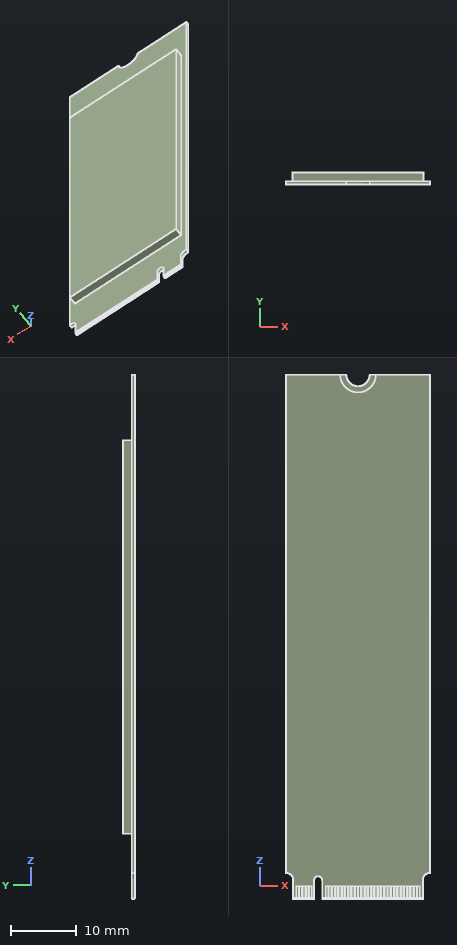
import cadquery as cq

overall_depth = 1.8
board_width = 22.0
board_height = 80.0
board_thickness = 0.54

tongue_width = 19.8
tongue_height = 4.0
shoulder_radius = 1.0
tongue_bevel_height = 0.28
tongue_bevel_depth = 0.2

slot_center_x = -6.1
slot_width = 1.2
slot_height = 3.5

pad_positions = 38
pad_span = 18.5
pad_pitch = pad_span / (pad_positions - 1)
pad_width = 0.35
pad_top = 2.0
pad_depth = 0.02
first_missing_pad = 5
missing_pads = 4

notch_radius = 1.8
seat_radius = 2.7
seat_depth = pad_depth

block_width = 20.0
block_height = 60.0
block_thickness = overall_depth - board_thickness


def box(width, depth, height, x, y, z):
    """Box centred on x, starting at y and z."""
    return (
        cq.Workplane("XY")
        .box(width, depth, height, centered=(True, False, False))
        .translate((x, y, z))
    )


def disc(radius, depth, x, z):
    """Disc with its axis along Y, from the front face inwards."""
    return cq.Workplane("XZ").center(x, z).circle(radius).extrude(-depth)


def make_board():
    """Board with concave rounds where the tongue meets the shoulders."""
    half_board = board_width / 2
    half_tongue = tongue_width / 2
    outline = (
        cq.Workplane("XZ")
        .moveTo(-half_tongue, 0)
        .lineTo(half_tongue, 0)
        .lineTo(half_tongue, tongue_height - shoulder_radius)
        .tangentArcPoint((shoulder_radius, shoulder_radius))
        .lineTo(half_board, tongue_height)
        .lineTo(half_board, board_height)
        .lineTo(-half_board, board_height)
        .lineTo(-half_board, tongue_height)
        .lineTo(-half_tongue - shoulder_radius, tongue_height)
        .tangentArcPoint((shoulder_radius, -shoulder_radius))
        .close()
    )
    board = outline.extrude(-board_thickness)
    tip_edges = board.faces("<Z").edges("<Y or >Y")
    return tip_edges.chamfer(tongue_bevel_depth, tongue_bevel_height)


def make_key_slot():
    slot_radius = slot_width / 2
    round_center_z = slot_height - slot_radius
    straight = box(slot_width, board_thickness, round_center_z, slot_center_x, 0, 0)
    return straight.union(disc(slot_radius, board_thickness, slot_center_x, round_center_z))


def make_pads():
    pad_height = pad_top - tongue_bevel_height
    pad_center_z = tongue_bevel_height + pad_height / 2
    missing = range(first_missing_pad, first_missing_pad + missing_pads)
    centers = [
        (index * pad_pitch - pad_span / 2, pad_center_z)
        for index in range(pad_positions)
        if index not in missing
    ]
    return cq.Workplane("XZ").pushPoints(centers).rect(pad_width, pad_height).extrude(-pad_depth)


seat = disc(seat_radius, seat_depth, 0, board_height)
mounting_notch = disc(notch_radius, board_thickness, 0, board_height)
block_bottom = (board_height - block_height) / 2
component_block = box(block_width, block_thickness, block_height, 0, board_thickness, block_bottom)

result = (
    make_board()
    .cut(make_key_slot())
    .cut(make_pads())
    .cut(seat)
    .cut(mounting_notch)
    .union(component_block)
)